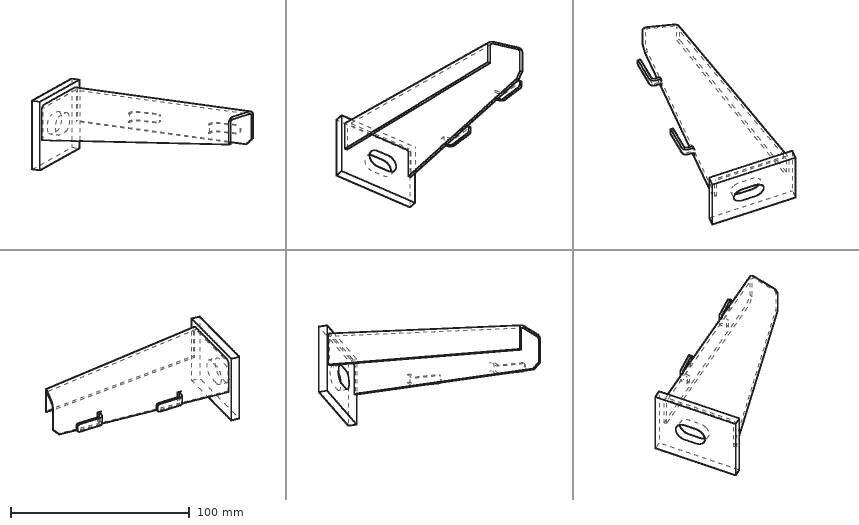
import cadquery as cq
import math

overall_length = 115.0

plate_thickness = 5.1
plate_width = 50.0
plate_height = 40.0
slot_length = 18.0
slot_width = 11.0
slot_offset_y = 3.1

sheet = 1.5
arm_height = 20.0
arm_drop = 3.0
back_inset = 3.0
front_inset = 2.2
tip_width = 20.1
tip_setback = 5.3
outer_bend = 3.0
inner_bend = outer_bend - sheet
front_flange_rise = 4.5
back_flange_chamfer = 3.8

arm_top = plate_height / 2 - arm_drop
arm_bottom = arm_top - arm_height
back_y = plate_width / 2 - back_inset
front_root_y = -plate_width / 2 + front_inset
front_tip_x = overall_length - tip_setback
front_tip_y = back_y - tip_width
front_angle = math.atan2(front_tip_y - front_root_y, front_tip_x - plate_thickness)
front_slope = math.tan(front_angle)

tab_width = 5.0
tab_leg_x = 36.3
tab_end_x = 53.5
tab_pitch = 50.0
tab_count = 2
tab_reach = 7.5
tab_angle = math.radians(5)
tab_corner = 1.4
tab_root_length = 4.6
tab_center_z = 2.6


def make_plate():
    """Wall plate with a horizontal slot through its thickness."""
    plate = cq.Workplane("XY").box(plate_thickness, plate_width, plate_height, centered=(False, True, True))
    slot = (
        cq.Workplane("YZ")
        .center(slot_offset_y, 0)
        .slot2D(slot_length, slot_width)
        .extrude(plate_thickness)
    )
    return plate.cut(slot)


def make_channel():
    """Tapered channel with rounded bends and a slanted open end."""
    outside = (
        cq.Workplane("XY", origin=(0, 0, arm_bottom))
        .polyline([
            (plate_thickness, back_y),
            (overall_length, back_y),
            (front_tip_x, front_tip_y),
            (plate_thickness, front_root_y),
        ])
        .close()
        .extrude(arm_height)
        .edges(">Z")
        .edges(">Y or <Y")
        .fillet(outer_bend)
    )

    end_x = overall_length + tip_setback
    front_shift = sheet / math.cos(front_angle)
    cavity_root_y = front_root_y + front_shift - front_slope * plate_thickness
    cavity_end_y = cavity_root_y + front_slope * end_x
    cavity = (
        cq.Workplane("XY", origin=(0, 0, arm_bottom))
        .polyline([
            (0, back_y - sheet),
            (end_x, back_y - sheet),
            (end_x, cavity_end_y),
            (0, cavity_root_y),
        ])
        .close()
        .extrude(arm_height - sheet)
        .edges(">Z")
        .edges(">Y or <Y")
        .fillet(inner_bend)
    )
    return outside.cut(cavity)


def make_front_flange_trim():
    """Wedge below the rising lower edge of the front flange, run on past its slanted end."""
    edge_slope = front_flange_rise / (front_tip_x - plate_thickness)
    end_rise = edge_slope * (overall_length - plate_thickness)
    return (
        cq.Workplane("XZ", origin=(0, back_y - outer_bend, 0))
        .polyline([
            (plate_thickness, arm_bottom),
            (overall_length, arm_bottom),
            (overall_length, arm_bottom + end_rise),
        ])
        .close()
        .extrude(plate_width)
    )


def make_back_flange_trim():
    """Corner cut off the lower end of the back flange."""
    return (
        cq.Workplane("XZ", origin=(0, back_y, 0))
        .polyline([
            (overall_length - back_flange_chamfer, arm_bottom),
            (overall_length, arm_bottom),
            (overall_length, arm_bottom + back_flange_chamfer),
        ])
        .close()
        .extrude(outer_bend)
    )


def make_tab(leg_x):
    """Bent strip: root in the back flange, leg outward, then an arm toward +X."""
    tab_slope = math.tan(tab_angle)
    end_x = leg_x + tab_end_x - tab_leg_x
    leg_right_x = leg_x + sheet
    root_x = leg_x - tab_root_length
    end_top = (end_x - sheet * math.sin(tab_angle), back_y + tab_reach)
    end_bottom = (end_x, end_top[1] - sheet * math.cos(tab_angle))
    outer_corner = (leg_x, end_top[1] - tab_slope * (end_top[0] - leg_x))
    inner_corner = (leg_right_x, end_bottom[1] - tab_slope * (end_bottom[0] - leg_right_x))
    strip = (
        cq.Workplane("XY", origin=(0, 0, tab_center_z))
        .polyline([
            (root_x, back_y),
            (leg_x, back_y),
            outer_corner,
            end_top,
            end_bottom,
            inner_corner,
            (leg_right_x, back_y - sheet),
            (root_x, back_y - sheet),
        ])
        .close()
        .extrude(tab_width / 2, both=True)
    )

    def bend(solid, corner, radius):
        nearest = cq.selectors.NearestToPointSelector((corner[0], corner[1], tab_center_z))
        return solid.edges("|Z").edges(nearest).fillet(radius)

    strip = bend(strip, (leg_x, back_y), inner_bend)
    strip = bend(strip, (leg_right_x, back_y - sheet), outer_bend)
    strip = bend(strip, inner_corner, inner_bend)
    strip = bend(strip, outer_corner, outer_bend)
    return round_end(strip, end_top, end_bottom)


def round_end(strip, end_top, end_bottom):
    """Round the two corners at the free end of a tab."""
    middle_x = (end_top[0] + end_bottom[0]) / 2
    middle_y = (end_top[1] + end_bottom[1]) / 2
    for side in (-1, 1):
        corner = (middle_x, middle_y, tab_center_z + side * tab_width / 2)
        strip = strip.edges(cq.selectors.NearestToPointSelector(corner)).fillet(tab_corner)
    return strip


def make_arm():
    """Channel with trimmed flanges and its hook tabs, all one sheet."""
    arm = make_channel().cut(make_front_flange_trim()).cut(make_back_flange_trim())
    for index in range(tab_count):
        arm = arm.union(make_tab(tab_leg_x + index * tab_pitch))
    return arm


plate = make_plate()
arm = make_arm()

result = cq.Compound.makeCompound([plate.val(), *arm.vals()])